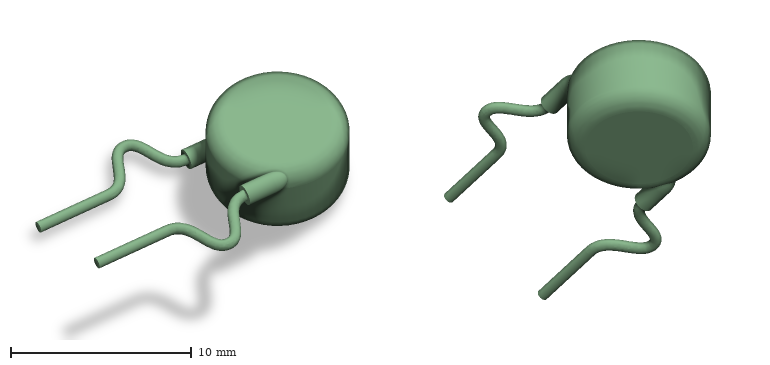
import cadquery as cq

disc_diameter = 8.0
disc_height = 5.0
rim_radius = 1.0
disc_front = -disc_diameter / 2

lead_offset_x = 3.22
lead_offset_z = 1.92
lead_turns = (0, 180)

sleeve_radius = 0.6
sleeve_length = 1.75
sleeve_dome_length = 1.0

lead_radius = 0.324
overall_length = 17.5
kink_reach = 2.5
kink_half_length = 2.5
shoulder_handle = 1.65
peak_handle = 1.2


def turned_about_y(shape, turn):
    """The shape turned about Y; half a turn moves it from the upper lead to the lower one."""
    return shape.rotate((0, 0, 0), (0, 1, 0), turn)


def make_disc():
    """Flat cylinder with both rims rounded."""
    return cq.Workplane("XY").cylinder(disc_height, disc_diameter / 2).edges("%CIRCLE").fillet(rim_radius)


def make_sleeve():
    """Cylinder along the upper lead axis with an elliptical dome that sinks into the disc."""
    profile = (
        cq.Workplane("XY")
        .lineTo(sleeve_radius, 0)
        .lineTo(sleeve_radius, sleeve_length)
        .ellipseArc(sleeve_radius, sleeve_dome_length, 0, 90)
        .close()
    )
    sleeve = profile.revolve(360, (0, 0, 0), (0, 1, 0))
    return sleeve.translate((lead_offset_x, disc_front, lead_offset_z))


def make_housing():
    """Disc with one sleeve for each lead, as one solid."""
    housing_body = make_disc()
    for turn in lead_turns:
        housing_body = housing_body.union(turned_about_y(make_sleeve(), turn))
    return housing_body


def make_lead_path():
    """Centre line from the sleeve: an S curve out to the peak, its mirror image back, then straight."""
    peak_x = lead_offset_x + kink_reach
    peak_y = disc_front - kink_half_length
    kink_end_y = disc_front - 2 * kink_half_length
    tip_y = disc_diameter / 2 - overall_length

    root = (lead_offset_x, disc_front)
    root_handle = (lead_offset_x, disc_front - shoulder_handle)
    handle_before_peak = (peak_x, peak_y + peak_handle)
    peak = (peak_x, peak_y)
    handle_after_peak = (peak_x, peak_y - peak_handle)
    end_handle = (lead_offset_x, kink_end_y + shoulder_handle)
    kink_end = (lead_offset_x, kink_end_y)

    return (
        cq.Workplane("XY", origin=(0, 0, lead_offset_z))
        .bezier([root, root_handle, handle_before_peak, peak])
        .bezier([peak, handle_after_peak, end_handle, kink_end])
        .moveTo(*kink_end)
        .lineTo(lead_offset_x, tip_y)
    )


def make_lead(turn):
    """Wire of round section, starting on the end face of its sleeve."""
    root = cq.Workplane("XZ", origin=(lead_offset_x, disc_front, lead_offset_z))
    wire = root.circle(lead_radius).sweep(make_lead_path())
    return turned_about_y(wire, turn)


housing = make_housing()

leads = []
for turn in lead_turns:
    leads.append(make_lead(turn))

result = cq.Compound.makeCompound([housing.val(), *[lead.val() for lead in leads]])